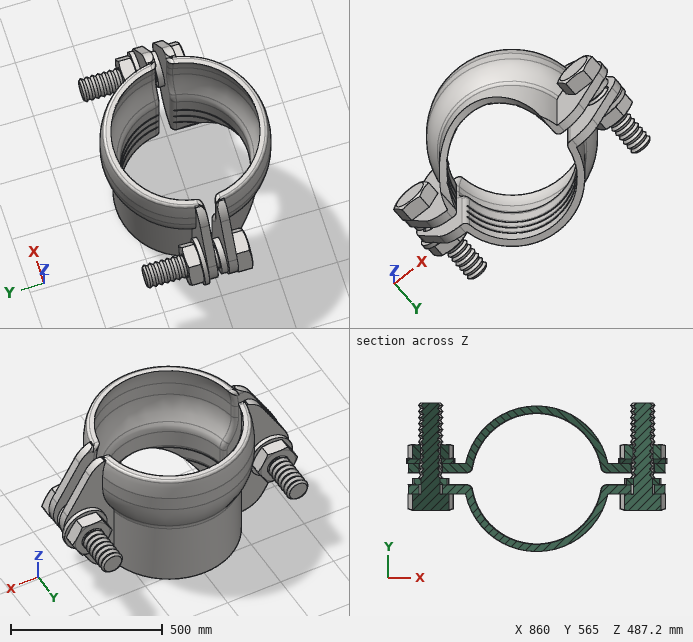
import cadquery as cq
import math

HEIGHT = 487.21
WALL = 25.0
BELL_RADIUS = 282.5
PIPE_RADIUS = 240.0
BAND_BOTTOM_Z = 366.5
BAND_TOP_Z = 418.5
BELL_ARC_RADIUS = 190.0
RIM_OUTER_RADIUS = 270.0
RIM_INNER_RADIUS = 246.0
PIPE_TOP_Z = 235.0
RIM_FILLET = 10.5
SPLIT_FILLET = 19.0
HALF_GAP = 19.5

BORE_RADIUS = PIPE_RADIUS - WALL
GROOVE_HEIGHT = 10.0
GROOVE_DEPTH = 2.5
GROOVE_LEDGES_Z = (60.0, 110.0, 160.0)

BRANCH_RADIUS = 217.0
BRANCH_TOP_Z = 171.0

LUG_HEIGHT = 492.3
LUG_THICKNESS = 31.0
LUG_FACE = HALF_GAP + LUG_THICKNESS
LUG_CORNER_RADIUS = 100.0
LUG_FLANK_ANGLE = 60.0
LUG_TOP_FILLET = 14.0
LUG_HOLE_DIAMETER = 90.0

BOLT_X = 350.0
BOLT_Z = 220.0
BOLT_DIAMETER = 80.0
ROOT_DIAMETER = 66.47
BOLT_TIP_Y = 250.0
TIP_LENGTH = 8.0
THREAD_PITCH = 20.0
THREAD_COUNT = 12
ACROSS_FLATS = 130.0
HEAD_HEIGHT = 55.0
HEAD_CHAMFER_DIAMETER = 115.0
HEAD_CHAMFER_HEIGHT = 6.5
NUT_HEIGHT = 46.5
NUT_CHAMFER_DIAMETER = ACROSS_FLATS
NUT_CHAMFER_HEIGHT = 3.0
WASHER_DIAMETER = 160.0
WASHER_HOLE_DIAMETER = 84.0
WASHER_THICKNESS = 15.5
SPACER_DIAMETER = 120.0
SPACER_THICKNESS = 21.0

ACROSS_CORNERS = ACROSS_FLATS / math.cos(math.radians(30))
BLOCK = 4 * BELL_RADIUS


def bell_of_revolution(offset, rim_radius):
    """Solid inside the bell surface moved inward by `offset`, ending at `rim_radius`."""
    bell_radius = BELL_RADIUS - offset
    pipe_radius = PIPE_RADIUS - offset
    arc_radius = BELL_ARC_RADIUS - offset
    arc_center_r = BELL_RADIUS - BELL_ARC_RADIUS

    drop = BAND_BOTTOM_Z - PIPE_TOP_Z
    step = BELL_RADIUS - PIPE_RADIUS
    center_distance = (drop ** 2 + step ** 2) / (2 * step)
    tangent_angle = math.asin(drop / center_distance)
    throat_radius = center_distance - arc_radius
    throat_center_r = pipe_radius + throat_radius

    def lower_arc(angle):
        r = arc_center_r + arc_radius * math.cos(angle)
        return (r, BAND_BOTTOM_Z - arc_radius * math.sin(angle))

    def throat_arc(angle):
        r = throat_center_r - throat_radius * math.cos(angle)
        return (r, PIPE_TOP_Z + throat_radius * math.sin(angle))

    rise = HEIGHT - BAND_TOP_Z
    draw_in = bell_radius - rim_radius
    upper_radius = (rise ** 2 + draw_in ** 2) / (2 * draw_in)
    middle_angle = math.asin(rise / upper_radius) / 2
    upper_middle = (
        bell_radius - upper_radius * (1 - math.cos(middle_angle)),
        BAND_TOP_Z + upper_radius * math.sin(middle_angle),
    )
    return (
        cq.Workplane("XZ")
        .moveTo(0, 0)
        .lineTo(pipe_radius, 0)
        .lineTo(pipe_radius, PIPE_TOP_Z)
        .threePointArc(throat_arc(tangent_angle / 2), throat_arc(tangent_angle))
        .threePointArc(lower_arc(tangent_angle / 2), (bell_radius, BAND_BOTTOM_Z))
        .lineTo(bell_radius, BAND_TOP_Z)
        .threePointArc(upper_middle, (rim_radius, HEIGHT))
        .lineTo(0, HEIGHT)
        .close()
        .revolve(360, (0, 0, 0), (0, 1, 0))
    )


def groove(ledge_z):
    """Cutter for one gripping groove, reaching from the axis to its sloping wall."""
    return (
        cq.Workplane("XZ")
        .polyline([
            (0, ledge_z),
            (BORE_RADIUS + GROOVE_DEPTH, ledge_z),
            (BORE_RADIUS, ledge_z + GROOVE_HEIGHT),
            (0, ledge_z + GROOVE_HEIGHT),
        ])
        .close()
        .revolve(360, (0, 0, 0), (0, 1, 0))
    )


def lug_plate():
    """Plate in front of the front split face, rounded at its six corners."""
    flank_dx = (LUG_HEIGHT / 2 - LUG_CORNER_RADIUS) / math.tan(math.radians(LUG_FLANK_ANGLE))
    edge_shift = LUG_CORNER_RADIUS * math.tan(math.radians(LUG_FLANK_ANGLE / 2))
    shoulder_x = PIPE_RADIUS + edge_shift
    point_x = PIPE_RADIUS + flank_dx + LUG_CORNER_RADIUS / math.sin(math.radians(LUG_FLANK_ANGLE))
    plate = (
        cq.Workplane("XZ", origin=(0, -HALF_GAP, 0))
        .polyline([
            (-shoulder_x, 0),
            (shoulder_x, 0),
            (point_x, LUG_HEIGHT / 2),
            (shoulder_x, LUG_HEIGHT),
            (-shoulder_x, LUG_HEIGHT),
            (-point_x, LUG_HEIGHT / 2),
        ])
        .close()
        .extrude(LUG_THICKNESS)
        .edges("|Y")
        .fillet(LUG_CORNER_RADIUS)
    )
    holes = (
        cq.Workplane("XZ")
        .pushPoints([(-BOLT_X, BOLT_Z), (BOLT_X, BOLT_Z)])
        .circle(LUG_HOLE_DIAMETER / 2)
        .extrude(LUG_FACE)
    )
    return plate.cut(holes)


def front_space():
    """Block filling the space in front of the front split face, up to the rim."""
    block = cq.Workplane("XY").box(BLOCK, BLOCK, HEIGHT, centered=(True, False, False))
    return block.translate((0, -HALF_GAP - BLOCK, 0))


def clamp_half():
    """Half of the clamp in front of the XZ plane, without the branch cut."""
    sharp_bell = bell_of_revolution(0, RIM_OUTER_RADIUS)
    rounded_bell = sharp_bell.faces(">Z").edges().fillet(RIM_FILLET)
    bore = bell_of_revolution(WALL, RIM_INNER_RADIUS)
    shell = sharp_bell.cut(bore).intersect(front_space())

    nearest = cq.selectors.NearestToPointSelector
    rim_middle = (RIM_OUTER_RADIUS + RIM_INNER_RADIUS) / 2
    split_edges = (
        nearest((-BORE_RADIUS, -HALF_GAP, PIPE_TOP_Z / 2))
        + nearest((BORE_RADIUS, -HALF_GAP, PIPE_TOP_Z / 2))
        + nearest((-rim_middle, -HALF_GAP, HEIGHT))
        + nearest((rim_middle, -HALF_GAP, HEIGHT))
    )
    shell = shell.edges(split_edges).fillet(SPLIT_FILLET).intersect(rounded_bell)

    for ledge_z in GROOVE_LEDGES_Z:
        shell = shell.cut(groove(ledge_z))
    lug_space = front_space().edges(">Y and >Z").fillet(LUG_TOP_FILLET)
    lugs = lug_plate().cut(sharp_bell).intersect(lug_space)
    return shell.union(lugs)


def front_half():
    """Clamp half whose lower wall is cut away for a branch pipe along Y."""
    branch = (
        cq.Workplane("XZ")
        .center(0, BRANCH_TOP_Z - BRANCH_RADIUS)
        .circle(BRANCH_RADIUS)
        .extrude(BELL_RADIUS)
    )
    return clamp_half().cut(branch)


def back_half():
    """Clamp half behind the XZ plane, with its full lower wall."""
    return clamp_half().mirror("XZ")


def bolt_plane(x, y):
    """Workplane on a bolt axis whose extrusions run toward +Y."""
    return cq.Workplane("XZ", origin=(x, y, BOLT_Z))


def ring(x, y, thickness, diameter, hole_diameter):
    """Flat ring around a bolt axis, reaching from `y` toward +Y."""
    return bolt_plane(x, y).circle(diameter / 2).circle(hole_diameter / 2).extrude(-thickness)


def hexagon(x, y, height):
    """Hexagonal prism reaching from `y` toward +Y, with two corners pointing along X."""
    return bolt_plane(x, y).polygon(6, ACROSS_CORNERS).extrude(-height)


def turned(x, outline):
    """Solid turned about a bolt axis from an outline of (radius, y) points."""
    return (
        cq.Workplane("XY", origin=(x, 0, BOLT_Z))
        .polyline(outline)
        .close()
        .revolve(360, (0, 0, 0), (0, 1, 0))
    )


def bolt_head(x):
    """Hexagonal head with its corners coned at the free end."""
    corner = ACROSS_CORNERS / 2
    free_y = -LUG_FACE - HEAD_HEIGHT
    cone = turned(x, [
        (0, free_y),
        (HEAD_CHAMFER_DIAMETER / 2, free_y),
        (corner, free_y + HEAD_CHAMFER_HEIGHT),
        (corner, -LUG_FACE),
        (0, -LUG_FACE),
    ])
    return hexagon(x, free_y, HEAD_HEIGHT).intersect(cone)


def bolt(x):
    """Hex bolt with a ring-grooved thread, its head against the front lug."""
    crest = BOLT_DIAMETER / 2
    root = ROOT_DIAMETER / 2
    outline = [(0, -LUG_FACE), (0, BOLT_TIP_Y), (root, BOLT_TIP_Y)]
    for turn in range(THREAD_COUNT):
        crest_y = BOLT_TIP_Y - TIP_LENGTH - turn * THREAD_PITCH
        outline.append((crest, crest_y))
        outline.append((root, crest_y - THREAD_PITCH / 2))
    last_root_y = BOLT_TIP_Y - TIP_LENGTH - (THREAD_COUNT - 1 / 2) * THREAD_PITCH
    outline.append((crest, last_root_y - THREAD_PITCH / 2))
    outline.append((crest, -LUG_FACE))
    return bolt_head(x).union(turned(x, outline))


def spacer(x):
    """Ring on the split face of the front lug."""
    return ring(x, -HALF_GAP, SPACER_THICKNESS, SPACER_DIAMETER, BOLT_DIAMETER)


def washer(x):
    """Ring between the back lug and the nut."""
    return ring(x, LUG_FACE, WASHER_THICKNESS, WASHER_DIAMETER, WASHER_HOLE_DIAMETER)


def nut(x):
    """Hex nut bearing on the washer, with its corners coned at both ends."""
    corner = ACROSS_CORNERS / 2
    washer_y = LUG_FACE + WASHER_THICKNESS
    free_y = washer_y + NUT_HEIGHT
    cones = turned(x, [
        (0, washer_y),
        (NUT_CHAMFER_DIAMETER / 2, washer_y),
        (corner, washer_y + NUT_CHAMFER_HEIGHT),
        (corner, free_y - NUT_CHAMFER_HEIGHT),
        (NUT_CHAMFER_DIAMETER / 2, free_y),
        (0, free_y),
    ])
    hole = bolt_plane(x, washer_y).circle(BOLT_DIAMETER / 2).extrude(-NUT_HEIGHT)
    return hexagon(x, washer_y, NUT_HEIGHT).intersect(cones).cut(hole)


bodies = [front_half().val(), back_half().val()]
for bolt_x in (-BOLT_X, BOLT_X):
    for make_part in (bolt, spacer, washer, nut):
        bodies.append(make_part(bolt_x).val())

result = cq.Compound.makeCompound(bodies)